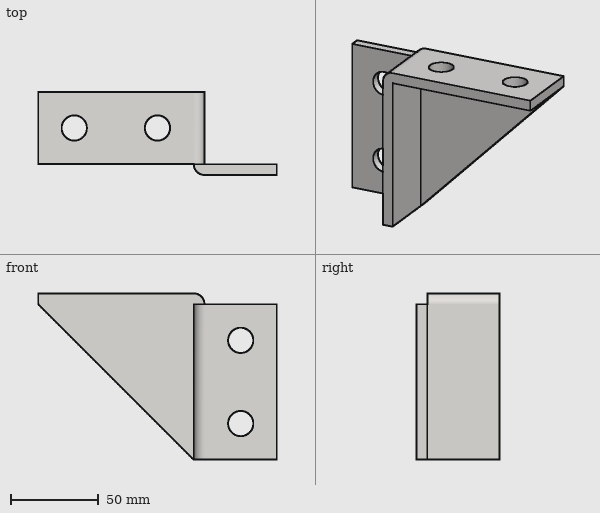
import cadquery as cq

thickness = 6.26
plate_width = 41.29
shelf_length = 95.08
height = 95.08
bend_radius = thickness
hole_diameter = 14.29
hole_edge_distance = plate_width / 2
wall_inner_x = -thickness


def box(x_range, y_range, z_range):
    """Box spanning the given (low, high) limits on each axis."""
    limits = (x_range, y_range, z_range)
    sizes = [high - low for low, high in limits]
    corner = tuple(low for low, high in limits)
    return cq.Workplane("XY").box(*sizes, centered=False).translate(corner)


def make_shelf_and_wall():
    """Horizontal shelf and vertical wall, joined by a bend rounded on the outside."""
    shelf = box((-shelf_length, 0), (0, plate_width), (-thickness, 0))
    wall = box((wall_inner_x, 0), (0, plate_width), (-height, 0))
    return shelf.union(wall).edges("|Y and >X and >Z").fillet(bend_radius)


def make_gusset():
    """Triangular side plate filling the corner between the shelf and the wall."""
    return (
        cq.Workplane("XZ")
        .moveTo(-shelf_length, -thickness)
        .lineTo(wall_inner_x, -thickness)
        .lineTo(wall_inner_x, -height)
        .close()
        .extrude(-thickness)
    )


def make_flange():
    """Side flange in front of the gusset plane, rounded where it bends out of the gusset."""
    return (
        cq.Workplane("XY", origin=(0, 0, -height))
        .moveTo(wall_inner_x, 0)
        .radiusArc((wall_inner_x + bend_radius, -thickness), -bend_radius)
        .lineTo(plate_width, -thickness)
        .lineTo(plate_width, 0)
        .close()
        .extrude(height - thickness)
    )


def hole_positions(start, end):
    """Hole centres set in by the edge distance from both ends of a plate."""
    return (start + hole_edge_distance, end - hole_edge_distance)


def make_shelf_holes():
    """Cutters through the shelf, on its centre line."""
    centres = [(x, plate_width / 2) for x in hole_positions(-shelf_length, wall_inner_x)]
    return (
        cq.Workplane("XY", origin=(0, 0, -thickness))
        .pushPoints(centres)
        .circle(hole_diameter / 2)
        .extrude(thickness)
    )


def make_flange_holes():
    """Cutters through the flange, on the centre line of its flat part."""
    centres = [(plate_width / 2, z) for z in hole_positions(-height, -thickness)]
    return (
        cq.Workplane("XZ")
        .pushPoints(centres)
        .circle(hole_diameter / 2)
        .extrude(thickness)
    )


body = make_shelf_and_wall().union(make_gusset()).union(make_flange())
result = body.cut(make_shelf_holes()).cut(make_flange_holes())